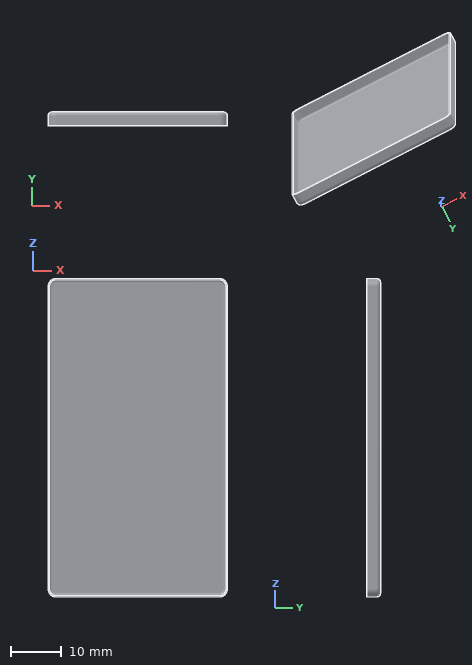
import cadquery as cq

width = 35.5
depth = 2.8
height = 63.1

wall = 0.3
corner_radius = 1.6
back_radius = 0.8


def rounded_block(inset):
    """Block inset from the outer faces, running from the open side to a rounded back."""
    return (
        cq.Workplane("XZ", origin=(0, -depth / 2, 0))
        .rect(width - 2 * inset, height - 2 * inset)
        .extrude(-(depth - inset))
        .edges("|Y")
        .fillet(corner_radius - inset)
        .faces(">Y")
        .edges()
        .fillet(back_radius - inset)
    )


outer_body = rounded_block(0)
cavity = rounded_block(wall)
result = outer_body.cut(cavity)